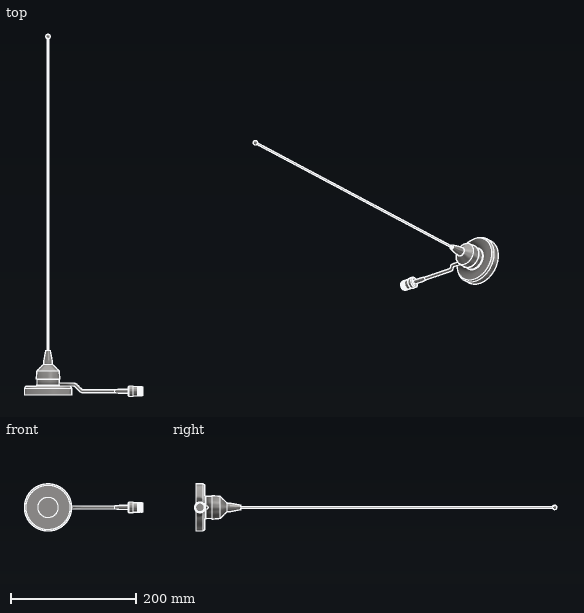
import cadquery as cq
import math


overall_width = 190.0
overall_length = 580.0

base_diameter = 76.0
base_radius = base_diameter / 2
base_height = 14.5
base_chamfer_radial = 2.5
base_chamfer_height = 3.5
boot_wall = 2.6
boot_roof = 3.5
magnet_radius = base_radius - boot_wall
magnet_height = base_height - boot_roof
core_radius = 16.0

hub_radius = 18.0
hub_flange_radius = 18.5
hub_flange_height = 2.0
skirt_radius = 19.0
skirt_bottom = 26.0
skirt_lip = 0.5
shoulder_height = 39.0
dome_top_radius = 7.5
dome_top = 49.0

ferrule_radius = 7.0
ferrule_height = 6.0
ferrule_top = dome_top + ferrule_height
sleeve_top_radius = 3.75
sleeve_top = 72.0
rod_radius = 1.45
rod_socket_depth = 6.0
tip_radius = 3.75

connector_radius = 8.5
connector_drop = 2.5
connector_axis = connector_radius - connector_drop
tip_center = overall_length - connector_drop - tip_radius
cable_radius = 2.6
cable_exit = base_height + cable_radius
cable_bend_radius = 6.0
cable_bend_angle = 45.0
first_bend_start = 40.5
cable_socket_depth = 3.0
relief_start = 106.5
relief_taper = 7.5
relief_radius = 3.5
connector_start = 128.0
connector_chamfer = 2.0
collar_end = 136.0
neck_step = 0.85
neck_radius = connector_radius - neck_step
ridges_start = 143.0
connector_end = overall_width - base_radius
ridge_pitch = 2.0
ridge_count = 4
ridge_depth = 0.5
nose_radius = 7.0


def turned(profile):
    """Solid of revolution about the mast axis from (radius, height) points."""
    return cq.Workplane("XY").polyline(profile).close().revolve(360, (0, 0, 0), (0, 1, 0))


def mast_cylinder(radius, bottom, top):
    """Cylinder on the mast axis between two heights."""
    return turned([(0, bottom), (radius, bottom), (radius, top), (0, top)])


def make_rod():
    """Thin whip from the socket in the sleeve to the middle of the tip ball."""
    return mast_cylinder(rod_radius, sleeve_top - rod_socket_depth, tip_center)


def make_tip():
    """Ball with a blind hole for the end of the rod."""
    return cq.Workplane("XY").sphere(tip_radius).translate((0, tip_center, 0)).cut(make_rod())


def make_sleeve():
    """Tapered sleeve above a plain ferrule, holding the foot of the rod."""
    profile = [
        (0, dome_top),
        (ferrule_radius, dome_top),
        (ferrule_radius, ferrule_top),
        (sleeve_top_radius, sleeve_top),
        (0, sleeve_top),
    ]
    return turned(profile).cut(make_rod())


def make_dome():
    """Upper hub: a flared skirt below a cone."""
    return turned([
        (0, skirt_bottom - skirt_lip),
        (hub_radius, skirt_bottom - skirt_lip),
        (skirt_radius, skirt_bottom),
        (hub_radius, shoulder_height),
        (dome_top_radius, dome_top),
        (0, dome_top),
    ])


def make_hub():
    """Lower hub with a thin foot flange and a socket where the cable enters."""
    flange_top = base_height + hub_flange_height
    hub_top = skirt_bottom - skirt_lip
    hub = turned([
        (0, base_height),
        (hub_flange_radius, base_height),
        (hub_flange_radius, flange_top),
        (hub_radius, flange_top),
        (hub_radius, hub_top),
        (0, hub_top),
    ])
    return hub.cut(make_cable())


def make_core():
    """Round core in the middle of the magnet, flush with its underside."""
    return mast_cylinder(core_radius, 0, magnet_height)


def make_magnet():
    """Ring magnet around the core."""
    return mast_cylinder(magnet_radius, 0, magnet_height).cut(make_core())


def make_boot():
    """Cup over the magnet, chamfered around its top edge."""
    return turned([
        (magnet_radius, 0),
        (base_radius, 0),
        (base_radius, base_height - base_chamfer_height),
        (base_radius - base_chamfer_radial, base_height),
        (0, base_height),
        (0, magnet_height),
        (magnet_radius, magnet_height),
    ])


def make_cable():
    """Round cable: level, down through an S-bend, then level into the connector."""
    angle = math.radians(cable_bend_angle)
    drop = cable_exit - connector_axis
    arc_run = cable_bend_radius * math.sin(angle)
    arc_drop = cable_bend_radius * (1 - math.cos(angle))
    half_run = cable_bend_radius * math.sin(angle / 2)
    half_drop = cable_bend_radius * (1 - math.cos(angle / 2))
    slope_drop = drop - 2 * arc_drop
    second_bend_end = first_bend_start + 2 * arc_run + slope_drop / math.tan(angle)
    cable_start = hub_radius - cable_socket_depth
    path = (
        cq.Workplane("XY")
        .moveTo(cable_start, cable_exit)
        .lineTo(first_bend_start, cable_exit)
        .threePointArc(
            (first_bend_start + half_run, cable_exit - half_drop),
            (first_bend_start + arc_run, cable_exit - arc_drop),
        )
        .lineTo(second_bend_end - arc_run, connector_axis + arc_drop)
        .threePointArc(
            (second_bend_end - half_run, connector_axis + half_drop),
            (second_bend_end, connector_axis),
        )
        .lineTo(relief_start, connector_axis)
    )
    section = cq.Workplane("YZ", origin=(cable_start, cable_exit, 0)).circle(cable_radius)
    return section.sweep(path)


def make_connector():
    """Plug turned about the cable axis: tapered strain relief, collar, neck, ridged grip and nose."""
    profile = [
        (relief_start, 0),
        (relief_start, cable_radius),
        (relief_start + relief_taper, relief_radius),
        (connector_start, relief_radius),
        (connector_start, connector_radius - connector_chamfer),
        (connector_start + connector_chamfer, connector_radius),
        (collar_end, connector_radius),
        (collar_end, neck_radius),
    ]
    for i in range(ridge_count):
        groove = ridges_start + i * ridge_pitch
        profile += [
            (groove, neck_radius),
            (groove + ridge_pitch / 2, neck_radius - ridge_depth),
        ]
    ridges_end = ridges_start + ridge_count * ridge_pitch
    profile += [
        (ridges_end, neck_radius),
        (ridges_end, nose_radius),
        (connector_end, nose_radius),
        (connector_end, 0),
    ]
    plug = cq.Workplane("XY").polyline(profile).close().revolve(360, (0, 0, 0), (1, 0, 0))
    return plug.translate((0, connector_axis, 0))


boot = make_boot()
magnet = make_magnet()
core = make_core()
hub = make_hub()
dome = make_dome()
sleeve = make_sleeve()
rod = make_rod()
tip = make_tip()
cable = make_cable()
connector = make_connector()

result = cq.Compound.makeCompound([
    boot.val(),
    magnet.val(),
    core.val(),
    hub.val(),
    dome.val(),
    sleeve.val(),
    rod.val(),
    tip.val(),
    cable.val(),
    connector.val(),
])